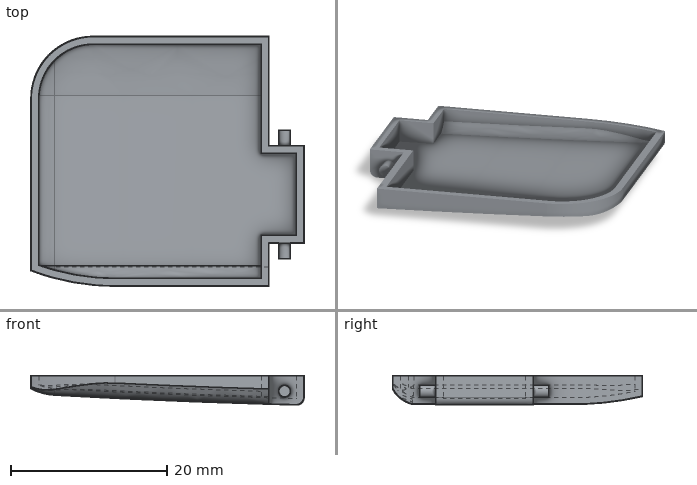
import cadquery as cq
import math

LENGTH = 35.0
WIDTH = 32.0
DEPTH = 3.76
WALL = 1.0
FLOOR = 0.85

BODY_LENGTH = 30.5
BACK_CORNER_RADIUS = 8.0
FRONT_ARC_RADIUS = 30.0
FRONT_ARC_SETBACK = 2.0
TAB_FRONT = 5.5
TAB_WIDTH = 12.5
TAB_EDGE_RADIUS = 1.0

PIN_DIAMETER = 1.5
PIN_LENGTH = 2.0
PIN_X = LENGTH - 2.5
PIN_Z = -2.0

UNDERSIDE_RADIUS = 1000.0
UNDERSIDE_CENTER_X = 59.0
TIP_LENGTH = 3.0
TIP_RADIUS = 7.0
TIP_END_ANGLE = math.radians(50)

FRONT_RISE_WIDTH = 2.5
FRONT_RISE = 1.95
FRONT_RISE_RADIUS = 4.0
BACK_RISE_WIDTH = 7.5
BACK_RISE = 1.0
BACK_RISE_RADIUS = 40.0

SECTION_HEIGHT = 5.5
OVERSHOOT = 1.0


def plan_outline():
    """Outer rim outline in the XY plane."""
    arc_length = math.sqrt(FRONT_ARC_RADIUS**2 - (FRONT_ARC_RADIUS - FRONT_ARC_SETBACK) ** 2)
    tab_back = TAB_FRONT + TAB_WIDTH
    return (
        cq.Workplane("XY")
        .moveTo(arc_length, 0)
        .lineTo(BODY_LENGTH, 0)
        .lineTo(BODY_LENGTH, TAB_FRONT)
        .lineTo(LENGTH, TAB_FRONT)
        .lineTo(LENGTH, tab_back)
        .lineTo(BODY_LENGTH, tab_back)
        .lineTo(BODY_LENGTH, WIDTH)
        .lineTo(BACK_CORNER_RADIUS, WIDTH)
        .radiusArc((0, WIDTH - BACK_CORNER_RADIUS), -BACK_CORNER_RADIUS)
        .lineTo(0, FRONT_ARC_SETBACK)
        .radiusArc((arc_length, 0), -FRONT_ARC_RADIUS)
        .close()
    )


def on_circle(center_x, center_z, radius, angle):
    """XZ point on a circle, with the angle measured from its lowest point toward -X."""
    return (center_x - radius * math.sin(angle), center_z - radius * math.cos(angle))


def angle_at(x):
    """Angle on the shallow underside arc at a given X."""
    return math.asin((UNDERSIDE_CENTER_X - x) / UNDERSIDE_RADIUS)


TAB_LOW_X = LENGTH - TAB_EDGE_RADIUS
UNDERSIDE_CENTER_Z = -DEPTH + UNDERSIDE_RADIUS * math.cos(angle_at(TAB_LOW_X))


def underside_point(angle):
    """XZ point on the shallow underside arc."""
    return on_circle(UNDERSIDE_CENTER_X, UNDERSIDE_CENTER_Z, UNDERSIDE_RADIUS, angle)


START_ANGLE = angle_at(LENGTH + OVERSHOOT)
START = underside_point(START_ANGLE)


def underside_path():
    """Lengthwise curve of the underside, from beyond the tab to beyond the tip."""
    tip_angle = angle_at(TIP_LENGTH)
    tip_start = underside_point(tip_angle)
    center_x = tip_start[0] + TIP_RADIUS * math.sin(tip_angle)
    center_z = tip_start[1] + TIP_RADIUS * math.cos(tip_angle)
    tip_middle = on_circle(center_x, center_z, TIP_RADIUS, (tip_angle + TIP_END_ANGLE) / 2)
    tip_end = on_circle(center_x, center_z, TIP_RADIUS, TIP_END_ANGLE)
    return (
        cq.Workplane("XZ")
        .moveTo(*START)
        .threePointArc(underside_point((START_ANGLE + tip_angle) / 2), tip_start)
        .threePointArc(tip_middle, tip_end)
    )


def swept_volume(inset):
    """Everything above the underside, with its cross-section shrunk by the inset."""
    section_plane = cq.Plane(
        origin=(START[0], 0, START[1]),
        xDir=(0, 1, 0),
        normal=(math.cos(START_ANGLE), 0, math.sin(START_ANGLE)),
    )
    section = (
        cq.Workplane(section_plane)
        .moveTo(0, SECTION_HEIGHT)
        .lineTo(0, FRONT_RISE)
        .radiusArc((FRONT_RISE_WIDTH, 0), -FRONT_RISE_RADIUS)
        .lineTo(WIDTH - BACK_RISE_WIDTH, 0)
        .radiusArc((WIDTH, BACK_RISE), -BACK_RISE_RADIUS)
        .lineTo(WIDTH, SECTION_HEIGHT)
        .close()
    )
    if inset:
        section = section.offset2D(-inset)
    return section.sweep(underside_path())


def outer_body():
    """Solid cover with the tab's lower end edge rounded."""
    body = plan_outline().extrude(-DEPTH - OVERSHOOT).intersect(swept_volume(0))
    return body.faces(">X").edges("<Z").fillet(TAB_EDGE_RADIUS)


def cavity():
    """Hollow inside the rim, following the underside."""
    prism = plan_outline().offset2D(-WALL, "intersection").extrude(-DEPTH)
    return prism.intersect(swept_volume(FLOOR))


def hinge_pin(y_start):
    """One pin along +Y from the given start."""
    return (
        cq.Workplane("XZ", origin=(PIN_X, y_start, PIN_Z))
        .circle(PIN_DIAMETER / 2)
        .extrude(-PIN_LENGTH)
    )


result = outer_body().cut(cavity())
for pin_start in (TAB_FRONT - PIN_LENGTH, TAB_FRONT + TAB_WIDTH):
    result = result.union(hinge_pin(pin_start))